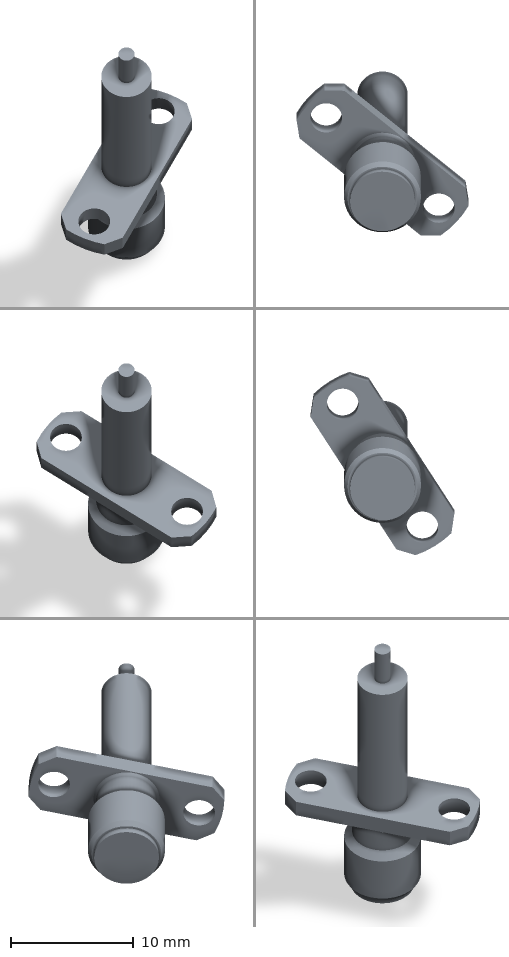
import cadquery as cq
import math

total_height = 25.38

pin_radius = 0.65
barrel_radius = 2.05
collar_radius = 2.7
neck_radius = 2.49
body_diameter = 6.27
body_radius = body_diameter / 2
body_bottom_radius = 2.85
end_ring_radius = 2.65

end_ring_height = 0.53
body_bottom = 0.96
body_top = 5.0
neck_bottom = 5.63
neck_top = 7.72
flange_bottom = 8.0
flange_thickness = 1.47
pin_length = 3.17
barrel_top = total_height - pin_length

flange_length = 15.96
flange_width = 5.58
end_arc_half_width = 1.73
corner_start = 6.55
hole_diameter = 2.6
hole_spacing = 12.18


def make_turned_body():
    """Revolve the pin, barrel, neck and connector body about Z."""
    return (
        cq.Workplane("XZ")
        .polyline([
            (0, 0),
            (end_ring_radius, 0),
            (end_ring_radius, end_ring_height),
            (body_bottom_radius, end_ring_height),
            (body_radius, body_bottom),
            (body_radius, body_top),
            (neck_radius, neck_bottom),
            (neck_radius, neck_top),
            (collar_radius, flange_bottom),
            (barrel_radius, flange_bottom),
            (barrel_radius, barrel_top),
            (pin_radius, barrel_top),
            (pin_radius, total_height),
            (0, total_height),
        ])
        .close()
        .revolve(360, (0, 0, 0), (0, 1, 0))
    )


def make_flange():
    """Plate with straight sides, angled corners, arc ends and two holes."""
    half_width = flange_width / 2
    end_radius = flange_length / 2
    arc_start = math.sqrt(end_radius**2 - end_arc_half_width**2)
    plate = (
        cq.Workplane("XY", origin=(0, 0, flange_bottom))
        .moveTo(half_width, -corner_start)
        .lineTo(half_width, corner_start)
        .lineTo(end_arc_half_width, arc_start)
        .threePointArc((0, end_radius), (-end_arc_half_width, arc_start))
        .lineTo(-half_width, corner_start)
        .lineTo(-half_width, -corner_start)
        .lineTo(-end_arc_half_width, -arc_start)
        .threePointArc((0, -end_radius), (end_arc_half_width, -arc_start))
        .close()
        .extrude(flange_thickness)
    )
    return (
        plate.faces(">Z").workplane(origin=(0, 0, 0))
        .rarray(0.25, hole_spacing, 1, 2)
        .hole(hole_diameter)
    )


result = make_turned_body().union(make_flange())